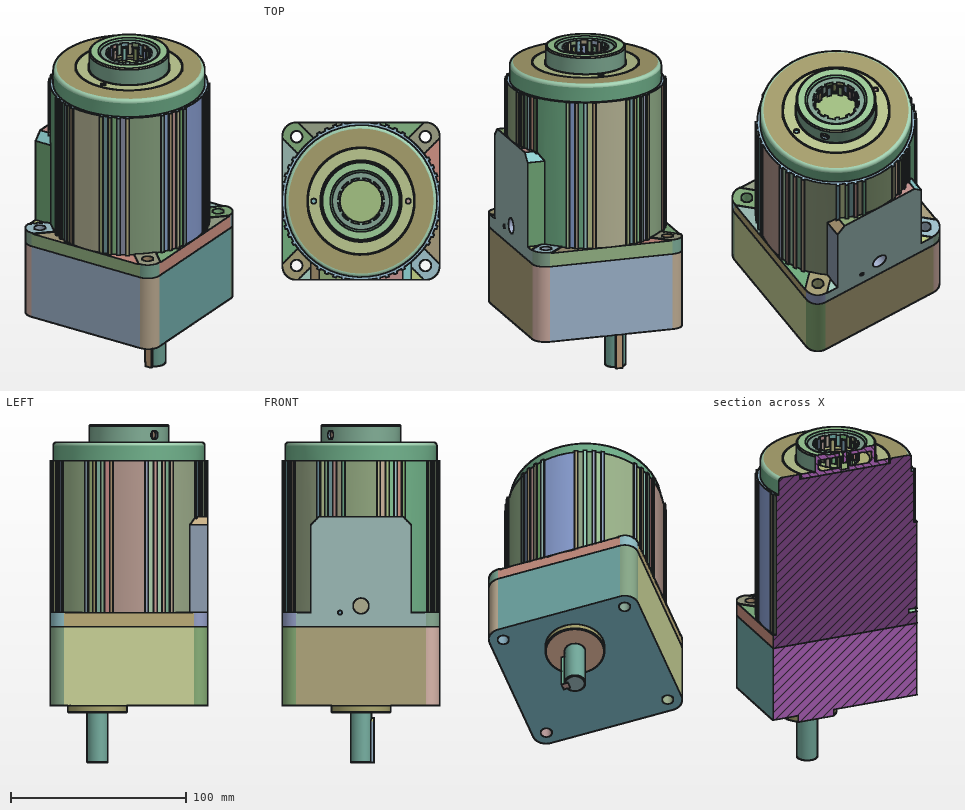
import cadquery as cq
import math

frame_size = 90.0
corner_radius = 8.0
overall_height = 193.0
shaft_drop = 32.5
gearbox_height = 45.0
flange_height = 8.5
barrel_height = 95.0
cap_height = 10.5

flange_top = gearbox_height + flange_height
barrel_top = gearbox_height + barrel_height
cap_top = barrel_top + cap_height
hub_top = overall_height - shaft_drop

hole_circle_diameter = 104.0
mounting_hole_diameter = 6.5
hole_offset = hole_circle_diameter / 2 / math.sqrt(2)

shaft_offset_y = 18.0
boss_radius = 17.0
boss_height = 4.0
boss_chamfer = 0.5
shaft_radius = 6.0
shaft_chamfer = 0.5
key_width = 4.0
key_height = 4.0
key_length = 25.5
key_protrusion = 1.5
key_inner_x = shaft_radius + key_protrusion - key_height

pad_width = 12.7
pad_height = 0.5

barrel_radius = frame_size / 2
rib_tip_radius = 46.0
rib_width = 1.9
rib_first_angle = 12.8
rib_pitch_angle = 6.4
ribs_per_group = 4

cap_radius = 43.4
cap_fillet = 2.0
recess_radius = 30.8
recess_depth = 3.0

tacho_flange_radius = 30.2
screw_hole_offset = 27.0
screw_hole_diameter = 3.0
screw_hole_depth = 1.0
hub_radius = 22.8
hub_chamfer = 0.8
hub_groove_width = 0.6
hub_groove_depth = 0.5
bore_mouth_radius = 17.6
bore_ledge_radius = 16.4
bore_ledge_depth = 1.0

ledge_z = hub_top - bore_ledge_depth
claw_outer_radius = 13.2
claw_inner_radius = 12.0
claw_width = 2.3
claws_per_side = 12
claw_pitch_angle = 360 / claws_per_side
upper_plate_thickness = 2.7
upper_claw_depth = 7.0
lower_claw_top_depth = 2.9
bore_depth = 10.7
lower_plate_thickness = 1.4
coil_space_radius = 20.8
coil_space_chamfer = 1.5
lead_hole_diameter = 5.0
lead_hole_drop = 5.9
lead_hole_angle = 220.0

box_width = 57.5
box_top = barrel_top - 32.0
box_chamfer = 4.8
cable_hole_diameter = 9.0
cable_hole_depth = 10.0
cable_hole_z = 57.0
earth_hole_diameter = 2.4
earth_hole_depth = 5.0
earth_hole_x = -12.0
earth_hole_z = 53.2


def square_block(bottom, height):
    """Square frame section with rounded vertical corners."""
    block = cq.Workplane("XY", origin=(0, 0, bottom)).rect(frame_size, frame_size).extrude(height)
    return block.edges("|Z").fillet(corner_radius)


def disc(bottom, radius, height):
    """Plain cylinder on the motor axis."""
    return cq.Workplane("XY", origin=(0, 0, bottom)).circle(radius).extrude(height)


def mounting_holes():
    """Four through-hole cutters spanning gearbox and flange."""
    square = 2 * hole_offset
    plane = cq.Workplane("XY")
    return plane.rect(square, square, forConstruction=True).vertices().circle(
        mounting_hole_diameter / 2
    ).extrude(flange_top)


def make_key():
    """Parallel key on the +X side, round at the gearbox end and square at the shaft tip."""
    half_width = key_width / 2
    top = key_length - half_width
    profile = cq.Workplane("YZ", origin=(key_inner_x, shaft_offset_y, -shaft_drop))
    profile = profile.moveTo(-half_width, 0).lineTo(half_width, 0).lineTo(half_width, top)
    profile = profile.threePointArc((0, key_length), (-half_width, top)).close()
    return profile.extrude(key_height)


def make_gearbox(key):
    """Square gear case with offset boss and output shaft, keyed on the +X side."""
    case = square_block(0, gearbox_height)
    boss = cq.Workplane("XY", origin=(0, shaft_offset_y, -boss_height)).circle(boss_radius)
    boss = boss.extrude(boss_height).faces("<Z").chamfer(boss_chamfer)
    shaft = cq.Workplane("XY", origin=(0, shaft_offset_y, -shaft_drop)).circle(shaft_radius)
    shaft = shaft.extrude(shaft_drop).faces("<Z").chamfer(shaft_chamfer)
    return case.union(boss).union(shaft).cut(mounting_holes()).cut(key)


def make_flange():
    """Motor flange with a slightly raised diagonal pad at each corner hole."""
    flange = square_block(gearbox_height, flange_height)
    lowered = cq.Workplane("XY", origin=(0, 0, flange_top - pad_height)).rect(frame_size, frame_size)
    lowered = lowered.extrude(pad_height)
    for angle in (45, 135):
        band = cq.Workplane("XY", origin=(0, 0, flange_top - pad_height))
        band = band.transformed(rotate=(0, 0, angle)).rect(2 * frame_size, pad_width).extrude(pad_height)
        lowered = lowered.cut(band)
    return flange.cut(lowered)


def rib_angles():
    """Rib directions: one group on each side of every X and Y axis direction."""
    angles = []
    for axis_angle in range(0, 360, 90):
        for index in range(ribs_per_group):
            offset = rib_first_angle + index * rib_pitch_angle
            angles.extend((axis_angle - offset, axis_angle + offset))
    return angles


def make_barrel():
    """Round motor barrel with lengthwise ribs, kept inside the square frame."""
    bottom = flange_top - pad_height
    height = barrel_top - bottom
    barrel = disc(bottom, barrel_radius, height)
    overlap = 2.0
    length = rib_tip_radius - barrel_radius + overlap
    for angle in rib_angles():
        rib = cq.Workplane("XY", origin=(0, 0, bottom)).transformed(rotate=(0, 0, angle))
        rib = rib.center(rib_tip_radius - length / 2, 0).rect(length, rib_width).extrude(height)
        barrel = barrel.union(rib)
    envelope = cq.Workplane("XY", origin=(0, 0, bottom)).rect(frame_size, frame_size).extrude(height)
    return barrel.intersect(envelope)


def make_terminal_box():
    """Flat-faced box on the -Y side, bevelled at its two upper corners."""
    depth = frame_size / 2
    box = cq.Workplane("XY", origin=(0, -depth / 2, gearbox_height)).rect(box_width, depth)
    box = box.extrude(box_top - gearbox_height)
    return box.edges("|Y and >Z").chamfer(box_chamfer)


def front_hole(x, z, diameter, depth):
    """Cutter for a blind hole in the -Y face."""
    plane = cq.Workplane("XZ", origin=(x, -frame_size / 2, z))
    return plane.circle(diameter / 2).extrude(-depth)


def make_cap():
    """End cap with a round recess for the tachogenerator flange."""
    cap = disc(barrel_top, cap_radius, cap_height).faces(">Z").edges().fillet(cap_fillet)
    return cap.cut(disc(cap_top - recess_depth, recess_radius, recess_depth))


def make_motor():
    """Motor housing: flange, ribbed barrel, terminal box and end cap."""
    motor = make_flange().union(make_barrel()).union(make_terminal_box()).union(make_cap())
    motor = motor.cut(mounting_holes())
    motor = motor.cut(front_hole(0, cable_hole_z, cable_hole_diameter, cable_hole_depth))
    return motor.cut(front_hole(earth_hole_x, earth_hole_z, earth_hole_diameter, earth_hole_depth))


def tacho_bore():
    """Cutter for the bevelled bore mouth, the bore and the coil space around it."""
    bore_floor = ledge_z - bore_depth
    coil_floor = bore_floor + lower_plate_thickness
    coil_ceiling = ledge_z - upper_plate_thickness
    half_section = cq.Workplane("XZ").polyline([
        (0, hub_top),
        (bore_mouth_radius, hub_top),
        (bore_ledge_radius, ledge_z),
        (claw_outer_radius, ledge_z),
        (claw_outer_radius, coil_ceiling),
        (coil_space_radius, coil_ceiling),
        (coil_space_radius, coil_floor + coil_space_chamfer),
        (coil_space_radius - coil_space_chamfer, coil_floor),
        (claw_outer_radius, coil_floor),
        (claw_outer_radius, bore_floor),
        (0, bore_floor),
    ]).close()
    return half_section.revolve(360, (0, 0), (0, 1))


def claw_row(first_angle, bottom, top, outer_radius):
    """Ring of claws cut from a tube, as radial bars between two heights."""
    tube = disc(bottom, outer_radius, top - bottom).cut(disc(bottom, claw_inner_radius, top - bottom))
    bars = cq.Workplane("XY", origin=(0, 0, bottom))
    bars = bars.polarArray(outer_radius / 2, first_angle, 360, claws_per_side)
    bars = bars.rect(outer_radius, claw_width).extrude(top - bottom)
    return tube.intersect(bars)


def lead_hole():
    """Radial hole cutter from the hub's outside into the coil space."""
    angle = math.radians(lead_hole_angle)
    direction = cq.Vector(math.cos(angle), math.sin(angle), 0)
    start = direction * claw_outer_radius + cq.Vector(0, 0, hub_top - lead_hole_drop)
    return cq.Workplane(
        cq.Solid.makeCylinder(lead_hole_diameter / 2, hub_radius - claw_outer_radius + 1, start, direction)
    )


def make_tacho():
    """Flanged tachogenerator with two interleaved rows of claw poles in its bore."""
    flange = disc(cap_top - recess_depth, tacho_flange_radius, recess_depth)
    groove = cq.Workplane("XY", origin=(0, 0, cap_top - hub_groove_depth))
    groove = groove.circle(hub_radius + hub_groove_width).circle(hub_radius).extrude(hub_groove_depth)
    screws = cq.Workplane("XY", origin=(0, 0, cap_top - screw_hole_depth))
    screws = screws.pushPoints([(-screw_hole_offset, 0), (screw_hole_offset, 0)])
    screws = screws.circle(screw_hole_diameter / 2).extrude(screw_hole_depth)
    hub = disc(cap_top, hub_radius, hub_top - cap_top).faces(">Z").edges().chamfer(hub_chamfer)
    body = flange.cut(groove).cut(screws).union(hub).cut(tacho_bore()).cut(lead_hole())

    upper_claws = claw_row(0, ledge_z - upper_claw_depth, ledge_z, claw_outer_radius)
    lower_claws = claw_row(
        claw_pitch_angle / 2, ledge_z - bore_depth, ledge_z - lower_claw_top_depth, claw_outer_radius
    )
    return body.union(upper_claws).union(lower_claws)


key = make_key()
gearbox = make_gearbox(key)
motor = make_motor()
tacho = make_tacho()

result = cq.Compound.makeCompound([
    gearbox.solids().val(),
    key.val(),
    motor.solids().val(),
    tacho.solids().val(),
])